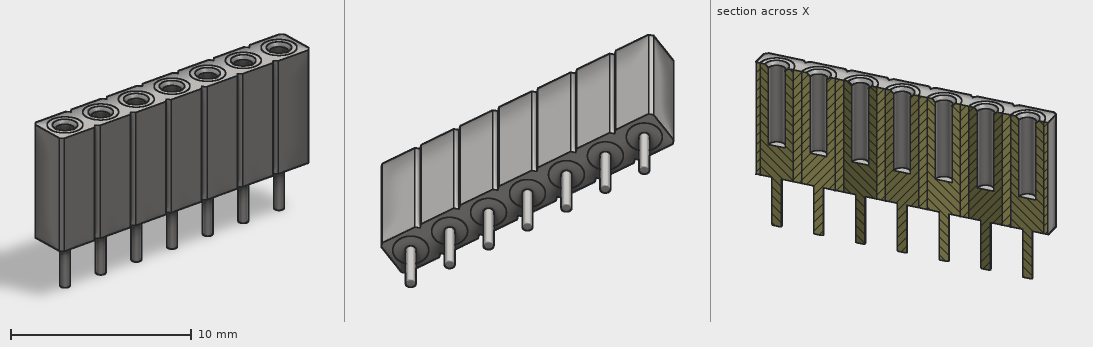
import cadquery as cq

CONTACT_COUNT = 7
ROW_LENGTH = 17.78
PITCH = ROW_LENGTH / CONTACT_COUNT
HOUSING_WIDTH = PITCH
HOUSING_HEIGHT = 7.0
CELL_FLAT = 2.13
CORNER_CHAMFER = (PITCH - CELL_FLAT) / 2

SLEEVE_DIAMETER = 2.0
SOCKET_DIAMETER = 1.0
SOCKET_MOUTH_DIAMETER = 1.4
SOCKET_DEPTH = 4.98
LEAD_IN_DEPTH = (SOCKET_MOUTH_DIAMETER - SOCKET_DIAMETER) / 2
TAIL_DIAMETER = 0.6
TAIL_LENGTH = 2.99
TAIL_END_RADIUS = 0.1

CONTACT_POSITIONS = [(0, (i - (CONTACT_COUNT - 1) / 2) * PITCH) for i in range(CONTACT_COUNT)]


def make_housing():
    """Row of corner-chamfered cells, so V grooves form between neighbours, bored for the contacts."""
    cell = (
        cq.Workplane("XY")
        .box(HOUSING_WIDTH, PITCH, HOUSING_HEIGHT, centered=(True, True, False))
        .edges("|Z")
        .chamfer(CORNER_CHAMFER)
    )
    housing = cq.Workplane("XY")
    for x, y in CONTACT_POSITIONS:
        housing = housing.union(cell.translate((x, y, 0)))
    bores = (
        cq.Workplane("XY")
        .pushPoints(CONTACT_POSITIONS)
        .circle(SLEEVE_DIAMETER / 2)
        .extrude(HOUSING_HEIGHT)
    )
    return housing.cut(bores)


def make_contact(x, y):
    """Turned contact: half section in the XZ plane, revolved about Z."""
    sleeve_radius = SLEEVE_DIAMETER / 2
    socket_radius = SOCKET_DIAMETER / 2
    tail_radius = TAIL_DIAMETER / 2
    contact = (
        cq.Workplane("XZ")
        .moveTo(0, -TAIL_LENGTH)
        .lineTo(tail_radius - TAIL_END_RADIUS, -TAIL_LENGTH)
        .radiusArc((tail_radius, -TAIL_LENGTH + TAIL_END_RADIUS), -TAIL_END_RADIUS)
        .lineTo(tail_radius, 0)
        .lineTo(sleeve_radius, 0)
        .lineTo(sleeve_radius, HOUSING_HEIGHT)
        .lineTo(SOCKET_MOUTH_DIAMETER / 2, HOUSING_HEIGHT)
        .lineTo(socket_radius, HOUSING_HEIGHT - LEAD_IN_DEPTH)
        .lineTo(socket_radius, HOUSING_HEIGHT - SOCKET_DEPTH)
        .lineTo(0, HOUSING_HEIGHT - SOCKET_DEPTH)
        .close()
        .revolve(360, (0, 0, 0), (0, 1, 0))
    )
    return contact.translate((x, y, 0))


housing = make_housing()
contacts = [make_contact(x, y) for x, y in CONTACT_POSITIONS]

result = cq.Compound.makeCompound([housing.val(), *[contact.val() for contact in contacts]])